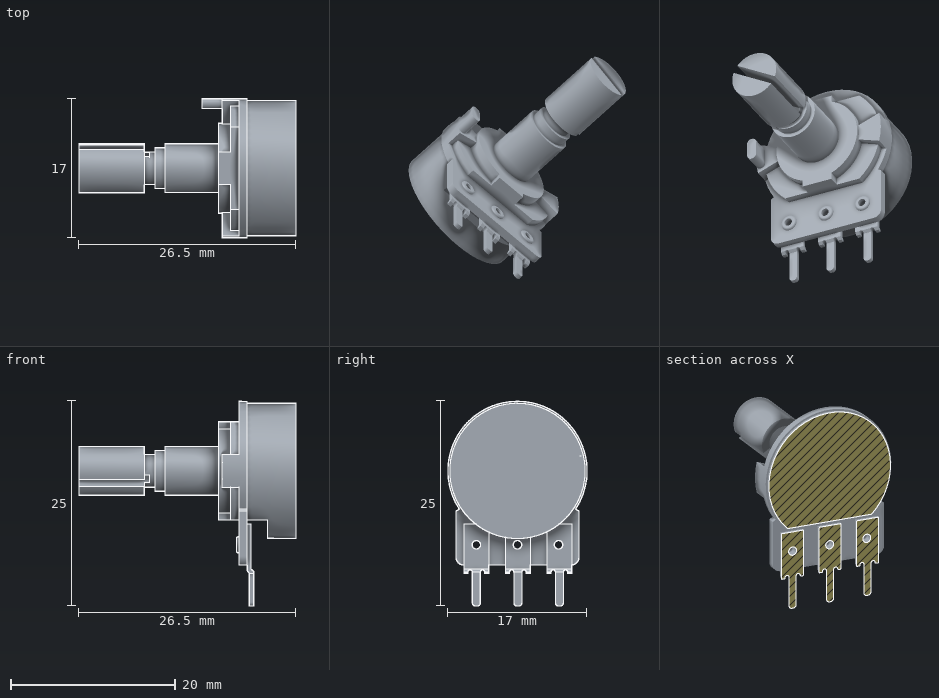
import cadquery as cq
import math


shaft_dia = 6.0
shaft_length = 8.0
groove_dia = 4.0
groove_end = 9.28
collar_dia = 5.0
collar_end = 10.5
bushing_dia = shaft_dia

slot_width = 1.0
slot_depth = 8.65
slot_angle = 30

body_length = 26.5
overall_height = 25.0
boss_front = 17.0
tab_front = 17.5
shoulder_front = 18.5
plate_front = 19.5
plate_back = 20.5
step_front = 23.0

housing_dia = 16.5
boss_dia = 11.0
shoulder_dia = 15.64
flat_offset = 6.0
key_width = 3.95

plate_dia = 16.99
skirt_width = 15.03
skirt_bottom = -11.5
skirt_corner_radius = 1.0
skirt_shoulder_z = -4.9
skirt_shoulder_slope = 30

tab_height = 4.03
tab_flank_angle = 19.5
peg_front = 15.0
peg_width = 1.22
peg_height = 2.84
peg_corner_radius = 0.58

rivet_pitch = 5.0
rivet_z = -9.0
rivet_dia = 2.01
rivet_height = 0.3
rivet_hole_dia = 1.0
rivet_round = 0.26

terminal_pitch = 5.05
terminal_shift = 0.05
terminal_top = -6.47
terminal_width = 3.05
terminal_thickness = 0.5
pin_width = 1.0
pin_thickness = 0.58
pin_corner_radius = 0.42
pin_offset = 0.26
bend_top = -12.15
bend_bottom = -12.48
bend_rear_rise = 0.19
pin_bottom = plate_dia / 2 - overall_height
notch_width = 0.5
notch_top = -12.08


def cylinder(diameter, x_start, x_end):
    return cq.Workplane("YZ", origin=(x_start, 0, 0)).circle(diameter / 2).extrude(x_end - x_start)


def block(x_range, y_range, z_range):
    size = [high - low for low, high in (x_range, y_range, z_range)]
    corner = (x_range[0], y_range[0], z_range[0])
    return cq.Workplane("XY").box(*size, centered=False).translate(corner)


def make_shaft():
    shaft = cylinder(shaft_dia, 0, shaft_length)
    shaft = shaft.union(cylinder(groove_dia, shaft_length, groove_end))
    slot = block((0, slot_depth), (-shaft_dia, shaft_dia), (-slot_width / 2, slot_width / 2))
    shaft = shaft.cut(slot.rotate((0, 0, 0), (1, 0, 0), slot_angle))
    collar = cylinder(collar_dia, groove_end, collar_end)
    bushing = cylinder(bushing_dia, collar_end, boss_front)
    return shaft.union(collar).union(bushing)


def make_boss():
    """Round boss with a key above and below, on a shoulder with two flats."""
    flats = (-flat_offset, flat_offset)
    reach = (-shoulder_dia / 2, shoulder_dia / 2)
    shoulder = cylinder(shoulder_dia, shoulder_front, plate_front)
    shoulder = shoulder.intersect(block((shoulder_front, plate_front), reach, flats))
    boss = cylinder(boss_dia, boss_front, plate_front)
    keys = block((boss_front, plate_front), (-key_width / 2, key_width / 2), flats)
    return shoulder.union(boss).union(keys)


def make_housing():
    """Round can whose front part is cut flat below to clear the terminals."""
    housing = cylinder(housing_dia, plate_back, body_length)
    relief = block((plate_back, step_front), (-housing_dia, housing_dia), (-housing_dia, -flat_offset))
    return housing.cut(relief)


def make_plate():
    """Round plate with a square skirt that carries the terminals."""
    half_width = skirt_width / 2
    peak_z = skirt_shoulder_z + half_width * math.tan(math.radians(skirt_shoulder_slope))
    skirt = (
        cq.Workplane("YZ", origin=(plate_front, 0, 0))
        .moveTo(-half_width, skirt_bottom)
        .lineTo(half_width, skirt_bottom)
        .lineTo(half_width, skirt_shoulder_z)
        .lineTo(0, peak_z)
        .lineTo(-half_width, skirt_shoulder_z)
        .close()
        .extrude(plate_back - plate_front)
        .edges("|X and <Z")
        .fillet(skirt_corner_radius)
    )
    return cylinder(plate_dia, plate_front, plate_back).union(skirt)


def make_tabs():
    """Two wedge-shaped tabs that reach forward from the rim of the plate to the boss."""
    outer_y = math.sqrt((plate_dia / 2) ** 2 - (tab_height / 2) ** 2)
    apex_y = outer_y - tab_height / 2 / math.tan(math.radians(tab_flank_angle))
    far_y = plate_dia
    far_z = (far_y - apex_y) * math.tan(math.radians(tab_flank_angle))
    rim = cylinder(plate_dia, tab_front, plate_front)
    tabs = cq.Workplane("YZ")
    for side in (-1, 1):
        wedge = (
            cq.Workplane("YZ", origin=(tab_front, 0, 0))
            .polyline([(side * apex_y, 0), (side * far_y, far_z), (side * far_y, -far_z)])
            .close()
            .extrude(plate_front - tab_front)
        )
        tabs = tabs.add(wedge.intersect(rim))
    return tabs.combine()


def make_peg():
    outer_y = plate_dia / 2
    peg = block((peg_front, tab_front), (outer_y - peg_width, outer_y), (-peg_height / 2, peg_height / 2))
    return peg.edges("|X").fillet(peg_corner_radius)


def make_rivet(y):
    """Round-edged rivet head on the front of the plate."""
    rivet = cylinder(rivet_dia, plate_front - rivet_height, plate_front)
    rivet = rivet.faces("<X").edges().fillet(rivet_round)
    return rivet.translate((0, y, rivet_z))


def make_terminal(y):
    """Solder tag on the back of the plate, stepped backwards into a round-ended pin."""
    pin_front = plate_back + pin_offset
    profile = [
        (plate_back, terminal_top),
        (plate_back + terminal_thickness, terminal_top),
        (plate_back + terminal_thickness, bend_top + bend_rear_rise),
        (pin_front + pin_thickness, bend_bottom + bend_rear_rise),
        (pin_front + pin_thickness, pin_bottom),
        (pin_front, pin_bottom),
        (pin_front, bend_bottom),
        (plate_back, bend_top),
    ]
    strip = (
        cq.Workplane("XZ", origin=(0, terminal_width / 2, 0))
        .polyline(profile)
        .close()
        .extrude(terminal_width)
    )
    depth = pin_offset + pin_thickness
    outline = cq.Workplane("YZ", origin=(plate_back, 0, 0))
    tag = (
        outline.center(0, (terminal_top + bend_bottom) / 2)
        .rect(terminal_width, terminal_top - bend_bottom)
        .extrude(depth)
    )
    notch_length = 2 * notch_width
    notch_centre_z = notch_top - notch_length / 2
    for side in (-1, 1):
        notch_y = side * (pin_width + notch_width) / 2
        notch = (
            outline.center(notch_y, notch_centre_z)
            .slot2D(notch_length, notch_width, 90)
            .extrude(depth)
        )
        tag = tag.cut(notch)
    pin = (
        outline.center(0, (bend_top + pin_bottom) / 2)
        .rect(pin_width, bend_top - pin_bottom)
        .extrude(depth)
        .edges("|X and <Z")
        .fillet(pin_corner_radius)
    )
    return strip.intersect(tag.union(pin)).translate((0, y, 0))


result = make_housing().union(make_plate()).union(make_boss()).union(make_shaft())
result = result.union(make_tabs()).union(make_peg())
for index in (-1, 0, 1):
    result = result.union(make_terminal(index * terminal_pitch + terminal_shift))
    result = result.union(make_rivet(index * rivet_pitch))

for index in (-1, 0, 1):
    hole = cylinder(rivet_hole_dia, plate_front - rivet_height, step_front)
    result = result.cut(hole.translate((0, index * rivet_pitch, rivet_z)))